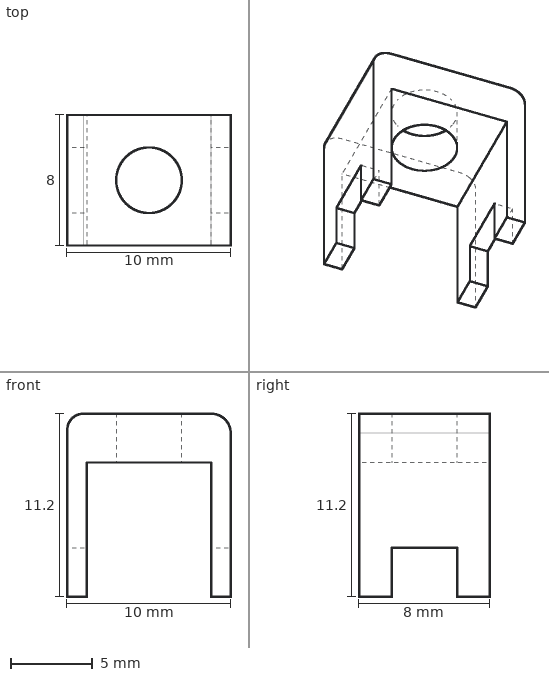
import cadquery as cq

width = 10.0
depth = 8.0
height = 11.2

wall = 1.2
top_thickness = 3.0
left_radius = 1.0
right_radius = 1.2

hole_diameter = 4.0
notch_width = 4.0
notch_height = 3.0


def bridge():
    """Inverted U running along Y, with a different rounding on each top edge."""
    block = cq.Workplane("XY").box(width, depth, height, centered=(True, True, False))
    block = block.edges("|Y and >Z and <X").fillet(left_radius)
    block = block.edges("|Y and >Z and >X").fillet(right_radius)
    channel = cq.Workplane("XY").box(
        width - 2 * wall, depth, height - top_thickness, centered=(True, True, False)
    )
    return block.cut(channel)


def top_hole():
    """Vertical hole through the middle of the top."""
    return cq.Workplane("XY").circle(hole_diameter / 2).extrude(height)


def leg_notch():
    """Slot across both side walls that splits each one into two legs."""
    return cq.Workplane("XY").box(width, notch_width, notch_height, centered=(True, True, False))


result = bridge().cut(top_hole()).cut(leg_notch())